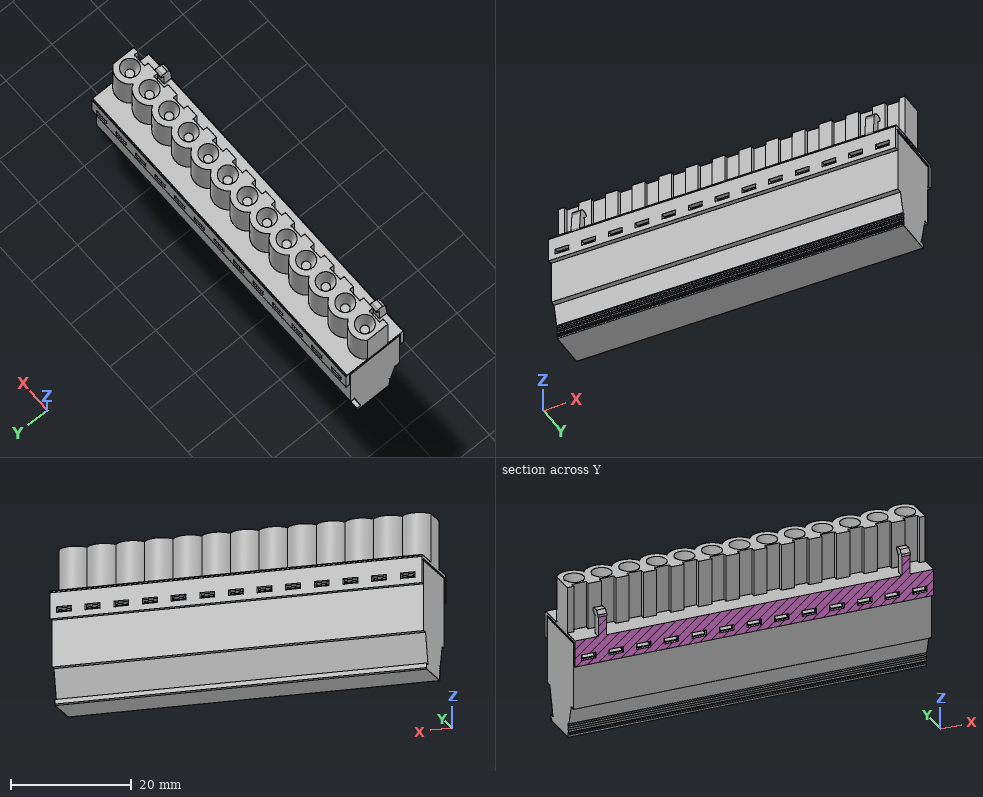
import cadquery as cq
import math

pole_count = 13
pitch = 5.0
cap_length = pole_count * pitch
cap_depth = 12.59
cap_overhang = 0.1
body_length = cap_length - cap_overhang
start_x = -cap_length / 2

lip_top = 1.0
shoulder_z = 6.2
cap_bottom = 14.25
cap_top = 19.18
pole_top = 27.6

skirt_thickness = 0.78
skirt_gap = 0.18
lid_underside = 18.6
cap_edge_chamfer = 0.15
lid_rim_bottom = 18.8
lid_setback = 0.05
seam_depth = 0.1

body_front = skirt_thickness + skirt_gap
body_back = cap_depth - body_front
body_top = lid_underside - skirt_gap
shoulder_width = 0.95
foot_front = 3.1
foot_back = 9.42
lip_back = 10.2
lip_chamfer = 0.2
taper_end_front = 2.86
taper_end_z = 2.55
foot_rib_front = 2.98
foot_groove_bottom = 0.4
foot_groove_top = 0.7
foot_groove_depth = 0.1
foot_ribs = [(1.75, 2.15), (0.95, 1.37)]

pole_y = 6.37
pole_back = 9.22
pole_back_radius = 3.0
pole_front = 3.5
pole_notch_width = 2.6
pole_notch_depth = 0.79
entry_diameter = 3.47
entry_bottom_diameter = 1.59
entry_depth = 2.5

window_width = 2.55
window_bottom = 15.3
window_top = 16.25
tooth_width = 2.2
tooth_bottom = 15.65
tooth_top = 16.05
tooth_reach = 0.5

clip_width = 1.6
clip_poles = [1, pole_count - 1]
clip_back = 1.74
clip_top = 23.7
clip_base_front = 0.05
clip_shoulder = (0.37, 22.6)
clip_brow = (0.45, 23.05)
clip_crown_front = 1.06
clip_crown_back = 2.05
hook_tip = (2.43, 23.4)
hook_underside = (2.3, 22.95)
hook_bottom = 22.4

pole_centers = [start_x + (i + 0.5) * pitch for i in range(pole_count)]


def block(x_min, x_max, y_min, y_max, z_min, z_max):
    """Box given by its limits along each axis."""
    size = (x_max - x_min, y_max - y_min, z_max - z_min)
    return cq.Workplane("XY").box(*size, centered=False).translate((x_min, y_min, z_min))


def extrude_along_x(outline, x_min, length):
    """Solid with the closed (Y, Z) outline, running along +X from x_min."""
    return cq.Workplane("YZ", origin=(x_min, 0, 0)).polyline(outline).close().extrude(length)


def make_body():
    front_steps = []
    for rib_bottom, rib_top in foot_ribs:
        front_steps += [
            (foot_front, rib_top),
            (foot_rib_front, rib_top),
            (foot_rib_front, rib_bottom),
            (foot_front, rib_bottom),
        ]
    outline = [
        (body_front, lid_underside),
        (body_front, shoulder_z),
        (body_front + shoulder_width, shoulder_z),
        (taper_end_front, taper_end_z),
        (foot_front, taper_end_z),
        *front_steps,
        (foot_front, foot_groove_top),
        (foot_front + foot_groove_depth, foot_groove_top),
        (foot_front + foot_groove_depth, foot_groove_bottom),
        (foot_front, foot_groove_bottom),
        (foot_front, 0),
        (lip_back - lip_chamfer, 0),
        (lip_back, lip_chamfer),
        (lip_back, lip_top),
        (foot_back, lip_top),
        (body_back - shoulder_width, shoulder_z),
        (body_back, shoulder_z),
        (body_back, lid_underside),
    ]
    return extrude_along_x(outline, start_x, body_length)


def make_cap():
    end_x = start_x + cap_length
    lid = block(start_x, end_x, lid_setback, cap_depth - lid_setback, cap_bottom, cap_top)
    lid = lid.faces(">Z").edges("|X").chamfer(cap_edge_chamfer)
    cap = lid.union(block(start_x, end_x, 0, cap_depth, cap_bottom, lid_rim_bottom))
    inside = block(
        start_x, end_x, skirt_thickness, cap_depth - skirt_thickness, cap_bottom, lid_underside
    )
    cap = cap.cut(inside)
    for x in pole_centers:
        half = window_width / 2
        cap = cap.cut(block(x - half, x + half, 0, cap_depth, window_bottom, window_top))
    return cap


def make_end_seams():
    """Grooves under the lid, one in each end of the body."""
    seams = cq.Workplane("XY")
    for x_min in (start_x, start_x + body_length - seam_depth):
        seams = seams.add(
            block(x_min, x_min + seam_depth, body_front, body_back, body_top, lid_underside)
        )
    return seams.combine()


def make_teeth():
    """Wedge teeth in the windows, their upper faces sloping down and outwards."""
    front_outline = [
        (body_front, tooth_bottom),
        (body_front - tooth_reach, tooth_bottom),
        (body_front, tooth_top),
    ]
    back_outline = [(cap_depth - y, z) for y, z in front_outline]
    teeth = cq.Workplane("XY")
    for x in pole_centers:
        for outline in (front_outline, back_outline):
            teeth = teeth.add(extrude_along_x(outline, x - tooth_width / 2, tooth_width))
    return teeth.combine()


def make_pole(x):
    half = pitch / 2
    arc_center_y = pole_back - pole_back_radius
    arc_start_y = arc_center_y + math.sqrt(pole_back_radius**2 - half**2)
    notch_half = pole_notch_width / 2
    notch_y = pole_front + pole_notch_depth
    outline = (
        cq.Workplane("XY", origin=(x, 0, lid_underside))
        .moveTo(-half, pole_front)
        .lineTo(-notch_half, pole_front)
        .lineTo(-notch_half, notch_y)
        .lineTo(notch_half, notch_y)
        .lineTo(notch_half, pole_front)
        .lineTo(half, pole_front)
        .lineTo(half, arc_start_y)
        .threePointArc((0, pole_back), (-half, arc_start_y))
        .close()
    )
    return outline.extrude(pole_top - lid_underside)


def make_entry(x):
    """Conical screw entry, open at the pole top."""
    return cq.Workplane(
        cq.Solid.makeCone(
            entry_diameter / 2,
            entry_bottom_diameter / 2,
            entry_depth,
            pnt=cq.Vector(x, pole_y, pole_top),
            dir=cq.Vector(0, 0, -1),
        )
    )


def make_clip(x):
    """Upright spring arm with a rounded hook facing the poles."""
    outline = (
        cq.Workplane("YZ", origin=(x - clip_width / 2, 0, 0))
        .moveTo(clip_base_front, lid_underside)
        .lineTo(clip_back, lid_underside)
        .lineTo(clip_back, hook_bottom)
        .lineTo(*hook_underside)
        .threePointArc(hook_tip, (clip_crown_back, clip_top))
        .lineTo(clip_crown_front, clip_top)
        .lineTo(*clip_brow)
        .lineTo(*clip_shoulder)
        .lineTo(clip_base_front, cap_top)
        .close()
    )
    return outline.extrude(clip_width)


result = make_body().cut(make_end_seams()).union(make_cap()).union(make_teeth())
for pole_x in pole_centers:
    result = result.union(make_pole(pole_x))
end_trim = block(start_x + body_length, start_x + cap_length, 0, cap_depth, cap_top, pole_top)
result = result.cut(end_trim)
for pole_x in pole_centers:
    result = result.cut(make_entry(pole_x))
for poles_before in clip_poles:
    result = result.union(make_clip(start_x + poles_before * pitch))